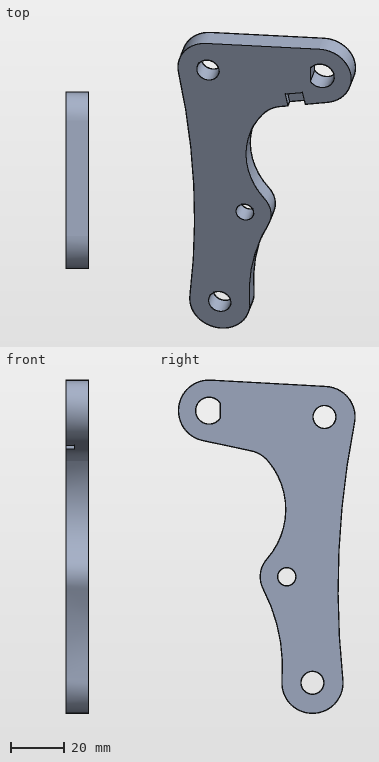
import cadquery as cq
import math

THICKNESS = 8.5
BOSS_R = 11.5
LUG_R = 10.0
HOLE_R = 4.3
LUG_HOLE_R = 3.4
D_HOLE_R = 5.0
D_FLAT_OFFSET = 4.1

LOWER = (0.0, 0.0)
REAR = (4.5, 99.9)
ARM = (-38.9, 102.3)
LUG = (-9.7, 39.9)
THROAT = (-38.2, 65.2)

BACK_R = 320.9
SHANK_R = 63.9
THROAT_FILLET_R = 11.5
THROAT_R = math.dist(THROAT, LUG) - LUG_R

ARM_SLOPE = math.radians(12)
NOTCH_WIDTH = 6.8
NOTCH_HEIGHT = 5.1
NOTCH_DEPTH = 3.3
NOTCH_DISTANCE = 12.0

ALONG = (math.cos(ARM_SLOPE), -math.sin(ARM_SLOPE))
OUTWARD = (-math.sin(ARM_SLOPE), -math.cos(ARM_SLOPE))


def move(point, direction, distance):
    return (point[0] + direction[0] * distance, point[1] + direction[1] * distance)


def toward(start, target, distance):
    """Point at the given distance from start on the ray through target."""
    length = math.dist(start, target)
    direction = ((target[0] - start[0]) / length, (target[1] - start[1]) / length)
    return move(start, direction, distance)


def circle_meet(first, first_r, second, second_r):
    """Meeting point of two circles on the left of the ray from first to second."""
    gap = math.dist(first, second)
    along = (gap**2 + first_r**2 - second_r**2) / (2 * gap)
    offset = math.sqrt(first_r**2 - along**2)
    base = toward(first, second, along)
    left = ((first[1] - second[1]) / gap, (second[0] - first[0]) / gap)
    return move(base, left, offset)


def arc_to(path, start, center, radius, end):
    """Add the shorter arc about center from start, the current end of the path."""
    middle = ((start[0] + end[0]) / 2, (start[1] + end[1]) / 2)
    return path.threePointArc(toward(center, middle, radius), end)


def plate():
    span = math.dist(REAR, ARM)
    top_normal = ((ARM[1] - REAR[1]) / span, (REAR[0] - ARM[0]) / span)
    arm_top = move(ARM, top_normal, BOSS_R)
    rear_top = move(REAR, top_normal, BOSS_R)

    back = circle_meet(REAR, BACK_R + BOSS_R, LOWER, BACK_R + BOSS_R)
    rear_back = toward(REAR, back, BOSS_R)
    lower_back = toward(LOWER, back, BOSS_R)

    shank = circle_meet(LOWER, SHANK_R + BOSS_R, LUG, SHANK_R + LUG_R)
    lower_shank = toward(LOWER, shank, BOSS_R)
    lug_shank = toward(LUG, shank, LUG_R)
    lug_throat = toward(LUG, THROAT, LUG_R)

    arm_under = move(ARM, OUTWARD, BOSS_R)
    fillet_line = move(arm_under, OUTWARD, THROAT_FILLET_R)
    reach = THROAT_R - THROAT_FILLET_R
    from_throat = (fillet_line[0] - THROAT[0], fillet_line[1] - THROAT[1])
    lift = from_throat[0] * OUTWARD[0] + from_throat[1] * OUTWARD[1]
    run = from_throat[0] * ALONG[0] + from_throat[1] * ALONG[1]
    fillet = move(fillet_line, ALONG, math.sqrt(reach**2 - lift**2) - run)
    fillet_throat = toward(THROAT, fillet, THROAT_R)
    fillet_arm = move(fillet, OUTWARD, -THROAT_FILLET_R)

    path = cq.Workplane("YZ").moveTo(*arm_top).lineTo(*rear_top)
    path = arc_to(path, rear_top, REAR, BOSS_R, rear_back)
    path = arc_to(path, rear_back, back, BACK_R, lower_back)
    lower_end = (LOWER[0], LOWER[1] - BOSS_R)
    path = path.threePointArc(lower_end, lower_shank)
    path = arc_to(path, lower_shank, shank, SHANK_R, lug_shank)
    path = arc_to(path, lug_shank, LUG, LUG_R, lug_throat)
    path = arc_to(path, lug_throat, THROAT, THROAT_R, fillet_throat)
    path = arc_to(path, fillet_throat, fillet, THROAT_FILLET_R, fillet_arm)
    path = path.lineTo(*arm_under)
    arm_end = (ARM[0] - BOSS_R, ARM[1])
    return path.threePointArc(arm_end, arm_top).close().extrude(THICKNESS)


def hole(center, radius):
    return cq.Workplane("YZ").center(*center).circle(radius).extrude(THICKNESS)


def d_hole():
    width = D_HOLE_R + D_FLAT_OFFSET
    keep = (
        cq.Workplane("YZ")
        .center(ARM[0] + D_FLAT_OFFSET - width / 2, ARM[1])
        .rect(width, 2 * D_HOLE_R)
        .extrude(THICKNESS)
    )
    return hole(ARM, D_HOLE_R).intersect(keep)


def notch():
    """Blind notch in the -X face, open through the arm's underside."""
    mouth = move(move(ARM, OUTWARD, BOSS_R), ALONG, NOTCH_DISTANCE)
    start = move(mouth, ALONG, -NOTCH_WIDTH / 2)
    end = move(mouth, ALONG, NOTCH_WIDTH / 2)
    corners = [start, end, move(end, OUTWARD, -NOTCH_HEIGHT), move(start, OUTWARD, -NOTCH_HEIGHT)]
    return cq.Workplane("YZ").polyline(corners).close().extrude(NOTCH_DEPTH)


result = plate()
for center, radius in ((LOWER, HOLE_R), (REAR, HOLE_R), (LUG, LUG_HOLE_R)):
    result = result.cut(hole(center, radius))
result = result.cut(d_hole()).cut(notch())